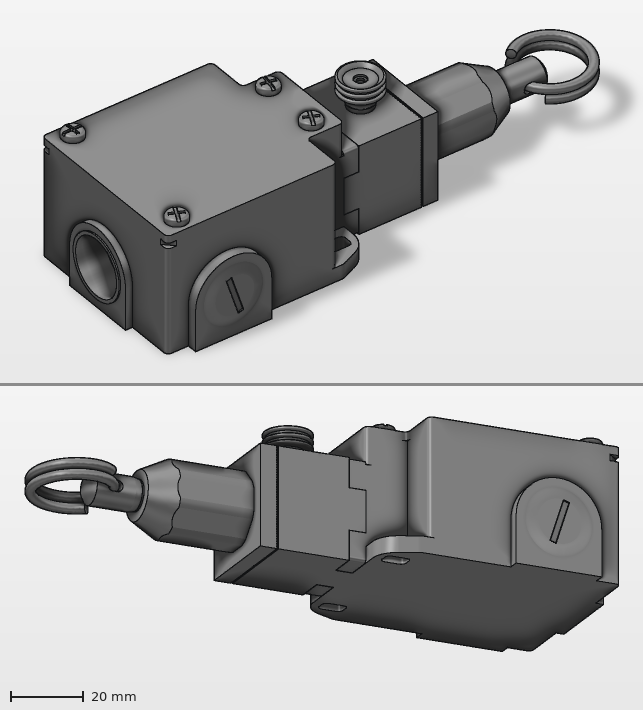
import cadquery as cq
import math


CASE_WIDTH = 58.0
CASE_HEIGHT = 40.2
SHOULDER_Y = 57.8
CASE_LENGTH = 70.5
TONGUE_WIDTH = 30.0
EDGE_RADIUS = 1.5
COVER_THICKNESS = 2.5
TONGUE_ROUND_Z = 29.0
NOTCH_LEG = 3.2
NOTCH_HEIGHT = 1.8

EAR_THICKNESS = 4.9
EAR_TAPER_Y = 60.0
EAR_TIP_X = 24.4
EAR_TIP_RADIUS = 7.7
EAR_SIDE_RADIUS = 4.2
EAR_SLOT_X = 20.5
EAR_SLOT_Y = 64.0
EAR_SLOT_WIDTH = 4.9
EAR_SLOT_LENGTH = 7.2
EAR_SLOT_RADIUS = 1.5

ENTRY_WIDTH = 25.9
ENTRY_Z = 14.0
ENTRY_SIDE_Y = 20.2
FRONT_PAD = 2.4
SIDE_PAD = 3.4
BORE_DIAMETER = 19.0
BORE_DEPTH = 10.1
COLLAR_DIAMETER = 21.4
COLLAR_HEIGHT = 0.5
PLUG_DIAMETER = 20.2
PLUG_FLAT_DIAMETER = 13.1
PLUG_HEIGHT = 0.7
PLUG_SLOT_WIDTH = 1.8
PLUG_SLOT_DEPTH = 0.5
PLUG_SLOT_TILT = -18

SCREW_BACK_X = 10.0
SCREW_BACK_Y = 63.0
SCREW_FRONT_X = 24.0
SCREW_FRONT_Y = 6.9
SCREWS = [
    (-SCREW_BACK_X, SCREW_BACK_Y, -10),
    (SCREW_BACK_X, SCREW_BACK_Y, -25),
    (-SCREW_FRONT_X, SCREW_FRONT_Y, 90),
    (SCREW_FRONT_X, SCREW_FRONT_Y, -25),
]
SCREW_DIAMETER = 7.0
SCREW_HEIGHT = 2.4
SCREW_ROUND = 1.2
SCREW_SLOT_WIDTH = 1.0
SCREW_SLOT_DEPTH = 0.7
SCREW_CROSS_LENGTH = 4.7

HEAD_SIDE = 30.1
AXIS_Z = HEAD_SIDE / 2
NECK_LENGTH = 5.0
NECK_PAD_WIDTH = 12.5
NECK_RADIUS = 1.2
HEAD_END_Y = 102.4
CAP_JOINT_Y = 96.8
CAP_GROOVE_WIDTH = 0.5
CAP_GROOVE_DEPTH = 0.3

GRIP_DIAMETER = 22.7
GRIP_ACROSS_FLATS = 21.9
GRIP_SIDES = 8
GRIP_END_Y = 124.5
CONE_END_Y = 132.6
CONE_END_DIAMETER = 14.6
ROD_DIAMETER = 10.0
ROD_NECK_DIAMETER = 9.0
ROD_START_Y = 133.2
ROD_SHOULDER_Y = 147.0
ROD_DOME_HEIGHT = 2.2
ROD_BEVEL = 0.3
ROD_BEVEL_LENGTH = 2.0
ROD_HOLE_DIAMETER = 3.4

KNOB_Y = 87.1
KNOB_DIAMETER = 14.1
KNOB_GROOVE_DIAMETER = 12.5
KNOB_BOTTOM_Z = 35.0
KNOB_DISC = 1.2
KNOB_DISC_COUNT = 3
KNOB_DISC_ROUND = 0.5
KNOB_GROOVE = 0.8
KNOB_DISH_DIAMETER = 12.8
KNOB_FLOOR_DIAMETER = 10.0
KNOB_DISH_DEPTH = 1.2
SOCKET_DIAMETER = 4.0
SOCKET_DEPTH = 0.7
SOCKET_CORE_DIAMETER = 2.5
SOCKET_CORE_DEPTH = 1.5
STEM_DIAMETER = 9.0
STEM_FOOT_DIAMETER = 8.4
STEM_FOOT_HEIGHT = 1.7

WIRE_DIAMETER = 3.0
RING_RADIUS = 11.5
RING_Y = 152.3
RING_PITCH = 3.2
RING_GAP_ANGLE = 45


def block(width, y_start, y_end, z_start, z_end):
    """A box centred on X."""
    size_y = y_end - y_start
    return cq.Workplane("XY").box(width, size_y, z_end - z_start, centered=(True, False, False)).translate(
        (0, y_start, z_start)
    )


def post(diameter, z_start, z_end):
    """An upright cylinder on the Z axis."""
    return cq.Workplane("XY", origin=(0, 0, z_start)).circle(diameter / 2).extrude(z_end - z_start)


def case_shell():
    """Full-width box with a narrower tongue, rounded upright edges and a filleted cover."""
    box = block(CASE_WIDTH, 0, SHOULDER_Y, 0, CASE_HEIGHT).edges("|Z").fillet(EDGE_RADIUS)
    tongue = block(TONGUE_WIDTH, SHOULDER_Y - EDGE_RADIUS, CASE_LENGTH, 0, TONGUE_ROUND_Z)
    tongue_top = block(TONGUE_WIDTH, SHOULDER_Y - EDGE_RADIUS, CASE_LENGTH, TONGUE_ROUND_Z, CASE_HEIGHT)
    tongue_top = tongue_top.edges("|Z and >Y").fillet(EDGE_RADIUS)
    shell = box.union(tongue).union(tongue_top)
    corner_square = 2 * EDGE_RADIUS
    for side in (-1, 1):
        corner_x = side * TONGUE_WIDTH / 2
        web = (
            cq.Workplane("XY", origin=(corner_x, SHOULDER_Y, CASE_HEIGHT - COVER_THICKNESS))
            .rect(corner_square, corner_square)
            .extrude(COVER_THICKNESS)
        )
        relief = post(2 * EDGE_RADIUS, 0, CASE_HEIGHT).translate(
            (corner_x + side * EDGE_RADIUS, SHOULDER_Y + EDGE_RADIUS, 0)
        )
        shell = shell.union(web.cut(relief))
    return shell


def corner_notches():
    """Sloping notches across the two front edges, just below the cover."""
    notches = cq.Workplane("XY")
    z_top = CASE_HEIGHT - COVER_THICKNESS
    for side in (-1, 1):
        corner = side * CASE_WIDTH / 2
        wedge = (
            cq.Workplane("XY", origin=(0, 0, z_top - NOTCH_HEIGHT))
            .polyline([(corner, 0), (corner - side * NOTCH_LEG, 0), (corner, NOTCH_LEG)])
            .close()
            .extrude(NOTCH_HEIGHT)
        )
        notches = notches.add(wedge)
    return notches


def ears():
    """Base flange with tapered outer corners and a slotted hole on each side."""
    half = CASE_WIDTH / 2
    outline = [
        (-half, SHOULDER_Y - 2 * EDGE_RADIUS),
        (half, SHOULDER_Y - 2 * EDGE_RADIUS),
        (half, EAR_TAPER_Y),
        (EAR_TIP_X, CASE_LENGTH),
        (-EAR_TIP_X, CASE_LENGTH),
        (-half, EAR_TAPER_Y),
    ]
    flange = cq.Workplane("XY").polyline(outline).close().extrude(EAR_THICKNESS)
    flange = flange.edges("|Z and >Y").fillet(EAR_TIP_RADIUS)
    for side in (-1, 1):
        taper_start = (side * half, EAR_TAPER_Y, EAR_THICKNESS / 2)
        flange = flange.edges(cq.selectors.NearestToPointSelector(taper_start)).fillet(EAR_SIDE_RADIUS)
    slots = (
        cq.Workplane("XY")
        .pushPoints([(-EAR_SLOT_X, EAR_SLOT_Y), (EAR_SLOT_X, EAR_SLOT_Y)])
        .rect(EAR_SLOT_WIDTH, EAR_SLOT_LENGTH)
        .extrude(EAR_THICKNESS)
        .edges("|Z")
        .fillet(EAR_SLOT_RADIUS)
    )
    return flange.cut(slots)


def entry_pad(height):
    """Arch-topped pad that stands out of the XZ plane toward -Y."""
    half = ENTRY_WIDTH / 2
    return (
        cq.Workplane("XZ")
        .moveTo(-half, 0)
        .lineTo(half, 0)
        .lineTo(half, ENTRY_Z)
        .threePointArc((0, ENTRY_Z + half), (-half, ENTRY_Z))
        .close()
        .extrude(height)
    )


def plugged_entry():
    """Entry pad closed by a low domed plug with a screwdriver slot, facing -Y."""
    rim = PLUG_DIAMETER / 2
    flat = PLUG_FLAT_DIAMETER / 2
    bulge = ((rim + flat) / 2, 0.75 * PLUG_HEIGHT)
    plug = (
        cq.Workplane("XY")
        .lineTo(rim, 0)
        .threePointArc(bulge, (flat, PLUG_HEIGHT))
        .lineTo(0, PLUG_HEIGHT)
        .close()
        .revolve(360, (0, 0), (0, 1))
    )
    slot = (
        cq.Workplane("XY")
        .box(PLUG_SLOT_WIDTH, PLUG_SLOT_DEPTH, PLUG_FLAT_DIAMETER)
        .translate((0, PLUG_HEIGHT - PLUG_SLOT_DEPTH / 2, 0))
        .rotate((0, 0, 0), (0, 1, 0), PLUG_SLOT_TILT)
    )
    plug = plug.cut(slot).rotate((0, 0, 0), (0, 0, 1), 180).translate((0, -SIDE_PAD, ENTRY_Z))
    return entry_pad(SIDE_PAD).union(plug)


def screw_head():
    """Pan head with a full-width slot crossed by a shorter one, standing on z = 0."""
    head = post(SCREW_DIAMETER, 0, SCREW_HEIGHT).faces(">Z").edges().fillet(SCREW_ROUND)
    floor = SCREW_HEIGHT - SCREW_SLOT_DEPTH
    slot = block(SCREW_DIAMETER, -SCREW_SLOT_WIDTH / 2, SCREW_SLOT_WIDTH / 2, floor, SCREW_HEIGHT)
    half_cross = SCREW_CROSS_LENGTH / 2
    cross = block(SCREW_SLOT_WIDTH, -half_cross, half_cross, floor, SCREW_HEIGHT)
    return head.cut(slot).cut(cross)


def make_case():
    """Case with its ears, cable entries and cover screws."""
    case = case_shell().cut(corner_notches()).union(ears())

    front_pad = entry_pad(FRONT_PAD)
    collar_length = FRONT_PAD + COLLAR_HEIGHT
    collar = cq.Workplane("XZ").center(0, ENTRY_Z).circle(COLLAR_DIAMETER / 2).extrude(collar_length)
    bore = (
        cq.Workplane("XZ", origin=(0, -collar_length, 0))
        .center(0, ENTRY_Z)
        .circle(BORE_DIAMETER / 2)
        .extrude(-BORE_DEPTH)
    )
    case = case.union(front_pad).union(collar).cut(bore)

    left_entry = (
        plugged_entry().rotate((0, 0, 0), (0, 0, 1), -90).translate((-CASE_WIDTH / 2, ENTRY_SIDE_Y, 0))
    )
    case = case.union(left_entry).union(left_entry.mirror("YZ"))

    for x, y, slot_angle in SCREWS:
        screw = screw_head().rotate((0, 0, 0), (0, 0, 1), slot_angle)
        case = case.union(screw.translate((x, y, CASE_HEIGHT)))
    return case


def neck():
    """Round-edged neck flush with the tongue, with a low pad on each face flush with the head."""
    section = cq.Workplane("XZ", origin=(0, CASE_LENGTH, AXIS_Z))
    body = section.rect(TONGUE_WIDTH, TONGUE_WIDTH).extrude(-NECK_LENGTH).edges("|Y").fillet(NECK_RADIUS)
    upright_pads = section.rect(NECK_PAD_WIDTH, HEAD_SIDE).extrude(-NECK_LENGTH)
    side_pads = section.rect(HEAD_SIDE, NECK_PAD_WIDTH).extrude(-NECK_LENGTH)
    return body.union(upright_pads).union(side_pads)


def head_block():
    """Square block with a fine groove where the end cap joins."""
    body = block(HEAD_SIDE, CASE_LENGTH + NECK_LENGTH, HEAD_END_Y, 0, HEAD_SIDE)
    inner_side = HEAD_SIDE - 2 * CAP_GROOVE_DEPTH
    groove = (
        cq.Workplane("XZ", origin=(0, CAP_JOINT_Y, AXIS_Z))
        .rect(HEAD_SIDE, HEAD_SIDE)
        .rect(inner_side, inner_side)
        .extrude(-CAP_GROOVE_WIDTH)
    )
    return body.cut(groove)


def grip():
    """Eight-flatted grip with a conical end."""
    grip_radius = GRIP_DIAMETER / 2
    body = (
        cq.Workplane("XY")
        .moveTo(0, HEAD_END_Y)
        .lineTo(grip_radius, HEAD_END_Y)
        .lineTo(grip_radius, GRIP_END_Y)
        .lineTo(CONE_END_DIAMETER / 2, CONE_END_Y)
        .lineTo(0, CONE_END_Y)
        .close()
        .revolve(360, (0, 0), (0, 1))
    )
    across_corners = GRIP_ACROSS_FLATS / math.cos(math.pi / GRIP_SIDES)
    prism = (
        cq.Workplane("XZ", origin=(0, HEAD_END_Y, 0))
        .polygon(GRIP_SIDES, across_corners)
        .extrude(HEAD_END_Y - CONE_END_Y)
        .rotate((0, 0, 0), (0, 1, 0), 180 / GRIP_SIDES)
    )
    return body.intersect(prism).translate((0, 0, AXIS_Z))


def reset_knob():
    """Stem with a stack of thin rounded discs, dished on top around a small stepped socket."""
    foot_top = HEAD_SIDE + STEM_FOOT_HEIGHT
    knob = post(STEM_FOOT_DIAMETER, HEAD_SIDE, foot_top).union(post(STEM_DIAMETER, foot_top, KNOB_BOTTOM_Z))
    pitch = KNOB_DISC + KNOB_GROOVE
    top_z = KNOB_BOTTOM_Z + pitch * (KNOB_DISC_COUNT - 1) + KNOB_DISC
    knob = knob.union(post(KNOB_GROOVE_DIAMETER, KNOB_BOTTOM_Z, top_z))
    for level in range(KNOB_DISC_COUNT):
        disc_z = KNOB_BOTTOM_Z + level * pitch
        disc = post(KNOB_DIAMETER, disc_z, disc_z + KNOB_DISC).edges().fillet(KNOB_DISC_ROUND)
        knob = knob.union(disc)
    floor_z = top_z - KNOB_DISH_DEPTH
    dish = (
        cq.Workplane("XY", origin=(0, 0, floor_z))
        .circle(KNOB_FLOOR_DIAMETER / 2)
        .workplane(offset=KNOB_DISH_DEPTH)
        .circle(KNOB_DISH_DIAMETER / 2)
        .loft()
    )
    knob = knob.cut(dish)
    knob = knob.cut(post(SOCKET_DIAMETER, floor_z - SOCKET_DEPTH, floor_z))
    knob = knob.cut(post(SOCKET_CORE_DIAMETER, floor_z - SOCKET_CORE_DEPTH, floor_z))
    return knob.translate((0, KNOB_Y, 0))


def make_housing():
    """Case, head, grip and reset knob as one solid."""
    return make_case().union(neck()).union(head_block()).union(grip()).union(reset_knob())


def make_ring():
    """Wire wound as a right-handed helix that crosses the rod axis halfway along its length."""
    sweep_angle = 2 * (360 - RING_GAP_ANGLE)
    height = RING_PITCH * sweep_angle / 360
    path = cq.Wire.makeHelix(RING_PITCH, height, RING_RADIUS)
    climb_angle = math.atan2(RING_PITCH, 2 * math.pi * RING_RADIUS)
    start_plane = cq.Plane(
        origin=(RING_RADIUS, 0, 0),
        xDir=(1, 0, 0),
        normal=(0, math.cos(climb_angle), math.sin(climb_angle)),
    )
    wire = cq.Workplane(start_plane).circle(WIRE_DIAMETER / 2).sweep(cq.Workplane(path), isFrenet=True)
    return wire.rotate((0, 0, 0), (0, 0, 1), RING_GAP_ANGLE - 90).translate((0, RING_Y, AXIS_Z - height / 2))


def rod_blank():
    """Round rod with a narrow neck at the grip, a bevelled start and a domed tip."""
    radius = ROD_DIAMETER / 2
    tip_y = ROD_SHOULDER_Y + ROD_DOME_HEIGHT
    sphere_radius = (radius**2 + ROD_DOME_HEIGHT**2) / (2 * ROD_DOME_HEIGHT)
    dome_x = radius / 2
    dome_y = tip_y - sphere_radius + math.sqrt(sphere_radius**2 - dome_x**2)
    return (
        cq.Workplane("XY")
        .moveTo(0, CONE_END_Y)
        .lineTo(ROD_NECK_DIAMETER / 2, CONE_END_Y)
        .lineTo(ROD_NECK_DIAMETER / 2, ROD_START_Y)
        .lineTo(radius - ROD_BEVEL, ROD_START_Y)
        .lineTo(radius, ROD_START_Y + ROD_BEVEL_LENGTH)
        .lineTo(radius, ROD_SHOULDER_Y)
        .threePointArc((dome_x, dome_y), (0, tip_y))
        .close()
        .revolve(360, (0, 0), (0, 1))
        .translate((0, 0, AXIS_Z))
    )


def make_rod(ring):
    """Pull rod with a cross hole that is widened to the curve of the ring."""
    cross_hole = (
        cq.Workplane("YZ", origin=(0, RING_Y - RING_RADIUS, AXIS_Z))
        .circle(ROD_HOLE_DIAMETER / 2)
        .extrude(ROD_DIAMETER / 2, both=True)
    )
    return rod_blank().cut(cross_hole).cut(ring)


housing = make_housing()
ring = make_ring()
pull_rod = make_rod(ring)

result = cq.Compound.makeCompound([*housing.solids().vals(), *pull_rod.solids().vals(), ring.val()])